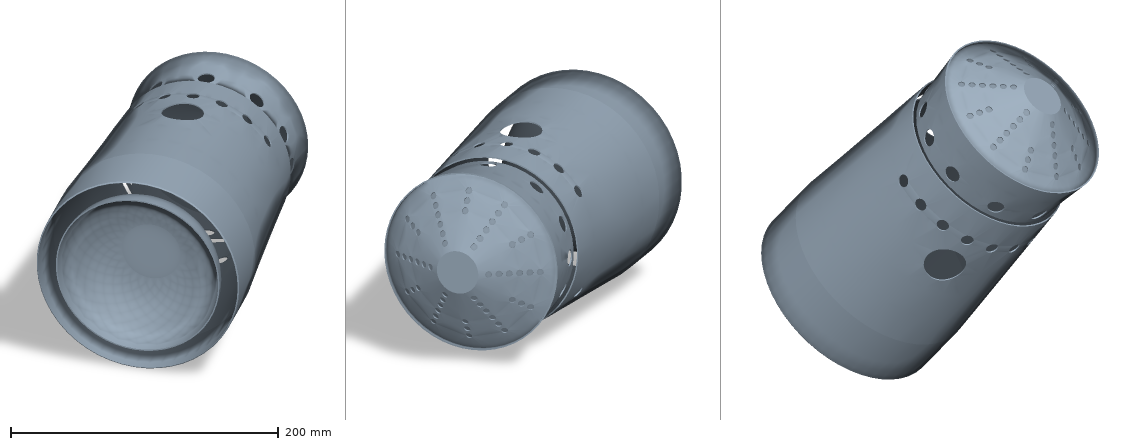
import cadquery as cq
import math

LENGTH = 260.0
WALL = 1.0
MOUTH_Y = -LENGTH / 2
LID_TOP_Y = LENGTH / 2

HOUSING_DIAMETER = 157.0
HOUSING_END_DIAMETER = 136.8
MOUTH_CHAMFER = 0.8
SLEEVE_LENGTH = 46.8
HOUSING_LENGTH = 187.2
SLEEVE_END_Y = MOUTH_Y + SLEEVE_LENGTH
HOUSING_END_Y = MOUTH_Y + HOUSING_LENGTH

WINDOW_DIAMETER = 31.7
WINDOW_Y = 0.0
HOUSING_VENT_DIAMETER = 9.5
HOUSING_VENT_Y = 30.0
HOUSING_VENT_STEP = 18.5
HOUSING_VENTS_EACH_SIDE = 3

COLLAR_SMALL_DIAMETER = 129.5
COLLAR_LARGE_DIAMETER = 139.4
COLLAR_START_Y = HOUSING_END_Y
COLLAR_END_Y = 102.7
COLLAR_VENT_DIAMETER = 12.7
COLLAR_VENT_Y = 67.9
COLLAR_VENT_ANGLES = (0.0, 23.6, 53.2, 90.0)

LID_TOP_DIAMETER = 33.3
LID_WALL = 2.0
LID_SEAT_DEPTH = 2.3
LID_DIMPLE_DIAMETER = 5.2
LID_DIMPLE_DEPTH = 1.0
LID_DIMPLE_PITCH = 7.8
LID_DIMPLE_COLUMNS = 12
LID_DIMPLES_PER_COLUMN = 6
LID_DIMPLES_LEFT_OUT = 3

REFLECTOR_DIAMETER = 127.0
REFLECTOR_FLOOR_DIAMETER = 45.2

DRILL_LENGTH = 2 * HOUSING_DIAMETER


def turned(outline):
    """Revolve a closed outline, drawn as (radius, y), about the Y axis."""
    return outline.close().revolve(360, (0, 0, 0), (0, 1, 0))


def radial_drill(diameter, y, angle):
    """Cylinder from the Y axis outwards, at an angle from +X towards +Z."""
    direction = cq.Vector(math.cos(math.radians(angle)), 0, math.sin(math.radians(angle)))
    return cq.Workplane(
        cq.Solid.makeCylinder(diameter / 2, DRILL_LENGTH, cq.Vector(0, y, 0), direction)
    )


def make_housing():
    outer = HOUSING_DIAMETER / 2
    end_outer = HOUSING_END_DIAMETER / 2
    body = turned(
        cq.Workplane("XY")
        .moveTo(outer - MOUTH_CHAMFER, MOUTH_Y)
        .lineTo(outer, MOUTH_Y + MOUTH_CHAMFER)
        .lineTo(outer, SLEEVE_END_Y)
        .lineTo(end_outer, HOUSING_END_Y)
        .lineTo(end_outer - WALL, HOUSING_END_Y)
        .lineTo(outer - WALL, SLEEVE_END_Y)
        .lineTo(outer - WALL, MOUTH_Y)
    )
    for middle in (90, 270):
        body = body.cut(radial_drill(WINDOW_DIAMETER, WINDOW_Y, middle))
        for step in range(-HOUSING_VENTS_EACH_SIDE, HOUSING_VENTS_EACH_SIDE + 1):
            angle = middle + step * HOUSING_VENT_STEP
            body = body.cut(radial_drill(HOUSING_VENT_DIAMETER, HOUSING_VENT_Y, angle))
    return body


def collar_inner_radius(y):
    share = (y - COLLAR_START_Y) / (COLLAR_END_Y - COLLAR_START_Y)
    diameter = COLLAR_SMALL_DIAMETER + share * (COLLAR_LARGE_DIAMETER - COLLAR_SMALL_DIAMETER)
    return diameter / 2 - WALL


def make_collar():
    body = turned(
        cq.Workplane("XY")
        .moveTo(COLLAR_SMALL_DIAMETER / 2, COLLAR_START_Y)
        .lineTo(COLLAR_LARGE_DIAMETER / 2, COLLAR_END_Y)
        .lineTo(collar_inner_radius(COLLAR_END_Y), COLLAR_END_Y)
        .lineTo(collar_inner_radius(COLLAR_START_Y), COLLAR_START_Y)
    )
    vent_angles = set()
    for angle in COLLAR_VENT_ANGLES:
        vent_angles.update((angle, 180 - angle, 180 + angle, (360 - angle) % 360))
    for angle in sorted(vent_angles):
        body = body.cut(radial_drill(COLLAR_VENT_DIAMETER, COLLAR_VENT_Y, angle))
    return body


def make_lid():
    foot_y = COLLAR_END_Y - LID_SEAT_DEPTH
    foot_radius = collar_inner_radius(foot_y)
    top_radius = LID_TOP_DIAMETER / 2
    slope = math.atan2(LID_TOP_Y - foot_y, foot_radius - top_radius)
    wall_along_radius = LID_WALL / math.sin(slope)
    ceiling_y = LID_TOP_Y - LID_WALL
    ceiling_radius = top_radius + LID_WALL / math.tan(slope) - wall_along_radius
    body = turned(
        cq.Workplane("XY")
        .moveTo(0, LID_TOP_Y)
        .lineTo(top_radius, LID_TOP_Y)
        .lineTo(foot_radius, foot_y)
        .lineTo(foot_radius - wall_along_radius, foot_y)
        .lineTo(ceiling_radius, ceiling_y)
        .lineTo(0, ceiling_y)
    )
    for column in range(LID_DIMPLE_COLUMNS):
        angle = math.radians(column * 360 / LID_DIMPLE_COLUMNS)
        outwards = cq.Vector(math.cos(angle), 0, math.sin(angle))
        normal = outwards * math.sin(slope) + cq.Vector(0, math.cos(slope), 0)
        first_dimple = 1 + LID_DIMPLES_LEFT_OUT * (column % 2)
        for dimple in range(first_dimple, LID_DIMPLES_PER_COLUMN + 1):
            along = dimple * LID_DIMPLE_PITCH
            radius = top_radius + along * math.cos(slope)
            y = LID_TOP_Y - along * math.sin(slope)
            centre = outwards * radius + cq.Vector(0, y, 0)
            floor = centre - normal * LID_DIMPLE_DEPTH
            drill = cq.Solid.makeCylinder(LID_DIMPLE_DIAMETER / 2, 2 * LID_DIMPLE_DEPTH, floor, normal)
            body = body.cut(cq.Workplane(drill))
    return body


def make_reflector():
    outer = REFLECTOR_DIAMETER / 2
    inner = outer - WALL
    floor_radius = REFLECTOR_FLOOR_DIAMETER / 2
    inner_round = inner - floor_radius
    outer_round = outer - floor_radius
    diagonal = math.sqrt(0.5)
    return turned(
        cq.Workplane("XY")
        .moveTo(inner, MOUTH_Y)
        .threePointArc(
            (floor_radius + inner_round * diagonal, MOUTH_Y + inner_round * diagonal),
            (floor_radius, MOUTH_Y + inner_round),
        )
        .lineTo(0, MOUTH_Y + inner_round)
        .lineTo(0, MOUTH_Y + outer_round)
        .lineTo(floor_radius, MOUTH_Y + outer_round)
        .threePointArc(
            (floor_radius + outer_round * diagonal, MOUTH_Y + outer_round * diagonal),
            (outer, MOUTH_Y),
        )
    )


housing = make_housing()
collar = make_collar()
lid = make_lid()
reflector = make_reflector()

result = cq.Compound.makeCompound([housing.val(), collar.val(), lid.val(), reflector.val()])